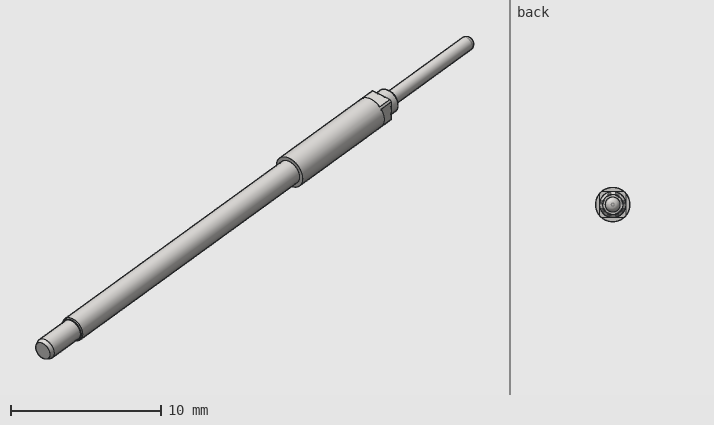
import cadquery as cq

overall_length = 44.3
collar_start = 8.35
neck_start = 9.25
sleeve_start = 10.3
sleeve_end = 18.75
barrel_end = 41.3

pin_diameter = 1.0
collar_diameter = 1.75
sleeve_diameter = 2.3
barrel_diameter = 1.75
tail_diameter = 1.5

width_across_flats = collar_diameter

tip_radius = 0.4
collar_chamfer = 0.2
barrel_chamfer_length = 0.1
barrel_chamfer_depth = 0.04
tail_chamfer_length = 0.3
tail_chamfer_depth = 0.12

tip_y = overall_length / 2
end_y = -overall_length / 2


def turned_section(start, end, diameter):
    """Cylinder on the Y axis between two distances from the pin tip."""
    front_plane = cq.Workplane("XZ", origin=(0, tip_y - start, 0))
    return front_plane.circle(diameter / 2).extrude(end - start)


def make_pin():
    """Slender pin with a rounded tip."""
    pin = turned_section(0, collar_start, pin_diameter)
    return pin.faces(">Y").edges().fillet(tip_radius)


def make_collar():
    """Collar chamfered on the side facing the pin tip."""
    collar = turned_section(collar_start, neck_start, collar_diameter)
    return collar.faces(">Y").chamfer(collar_chamfer)


def make_neck():
    """Neck of sleeve diameter with four flats facing X and Z."""
    neck_length = sleeve_start - neck_start
    front_plane = cq.Workplane("XZ", origin=(0, tip_y - neck_start, 0))
    flats = front_plane.rect(width_across_flats, width_across_flats).extrude(neck_length)
    return turned_section(neck_start, sleeve_start, sleeve_diameter).intersect(flats)


def make_barrel_and_tail():
    """Barrel stepping down to the tail, each chamfered at its -Y end."""
    barrel_radius = barrel_diameter / 2
    tail_radius = tail_diameter / 2
    step_y = tip_y - barrel_end
    half_profile = (
        cq.Workplane("XY")
        .moveTo(0, tip_y - sleeve_end)
        .lineTo(barrel_radius, tip_y - sleeve_end)
        .lineTo(barrel_radius, step_y + barrel_chamfer_length)
        .lineTo(barrel_radius - barrel_chamfer_depth, step_y)
        .lineTo(tail_radius, step_y)
        .lineTo(tail_radius, end_y + tail_chamfer_length)
        .lineTo(tail_radius - tail_chamfer_depth, end_y)
        .lineTo(0, end_y)
        .close()
    )
    return half_profile.revolve(360, (0, 0, 0), (0, 1, 0))


sleeve = turned_section(sleeve_start, sleeve_end, sleeve_diameter)

result = (
    make_pin()
    .union(make_collar())
    .union(make_neck())
    .union(sleeve)
    .union(make_barrel_and_tail())
)